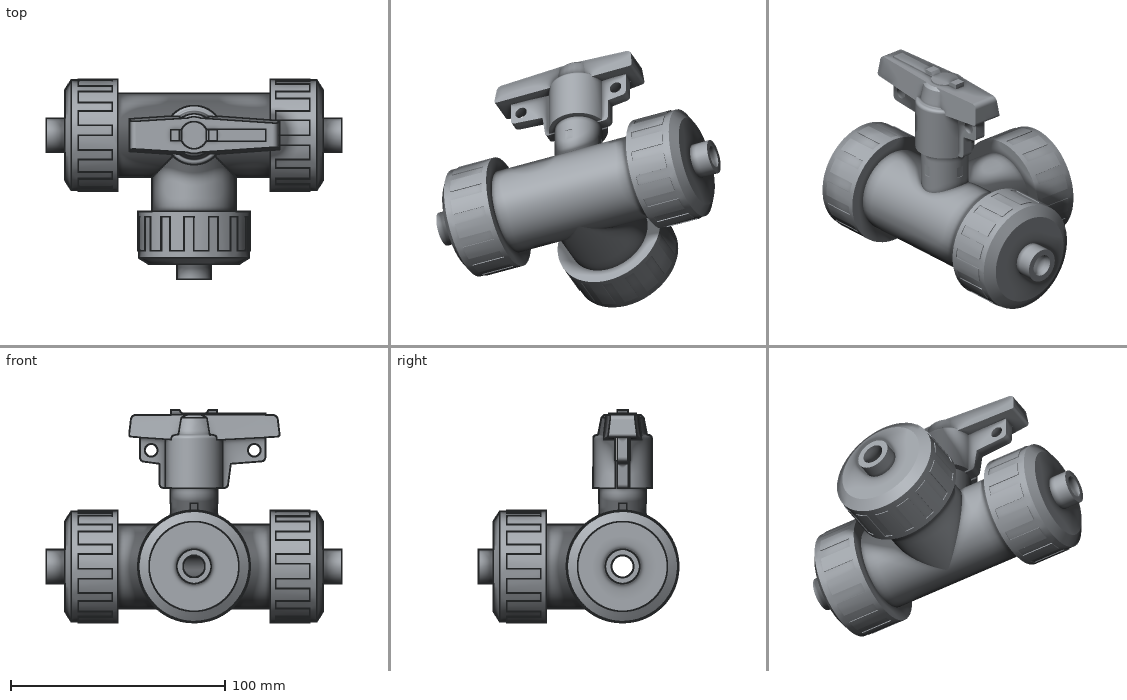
import cadquery as cq
import math


run_half_length = 69.0
branch_length = 67.3
body_diameter = 39.3
spigot_radius = 8.0
bore_radius = 5.1

nut_inner_face = 35.6
nut_groove_start = 38.1
nut_step = 54.0
nut_cone_start = 57.3
nut_outer_face = 60.3
nut_grip_radius = 26.2
nut_collar_radius = 25.8
nut_face_radius = 21.0
groove_count = 14
groove_fraction = 0.4

stem_diameter = 22.2
stem_top = 49.4
notch_top = 29.5
notch_height = 5.2
notch_width = 3.7
notch_floor = 10.8

hub_radius = 13.8
hub_bottom = 36.6
shoulder_bottom = 59.8
shoulder_round = 1.7
cone_foot_round = 0.8
cone_foot_radius = 11.3
cone_top_radius = 10.0
cone_top = 69.4

lever_bottom = 60.6
lever_belly = 58.5
lever_top = 70.8
lever_rear = -30.5
lever_front = 40.2
lever_end_draft = 1.2
lever_side_draft = 1.2
lever_rear_half_width = 7.6
lever_middle_half_width = 9.4
lever_front_half_width = 6.8
lever_top_round = 2.5
lever_bottom_round = 1.2

web_thickness = 5.1
web_slot_width = 6.9
web_rear = -25.3
web_front = 33.4
web_ear_bottom = 49.1
web_ear_root = 47.9
web_stem_rear = -16.1
web_stem_front = 15.7
web_stem_front_root = 17.2
web_corner_round = 2.1
web_hole_radius = 2.9
web_hole_inset = 5.2
web_hole_height = 54.2

mark_height = 0.7
disc_radius = 6.3
pointer_inner = 5.7
pointer_outer = 10.8
pointer_top = 73.1
pointer_slope = 1.2
pointer_width = 5.1
strip_width = 5.5


def turn(shape, angle):
    """Rotate a shape about the stem axis."""
    return shape.rotate((0, 0, 0), (0, 0, 1), angle)


def cylinder_to_port(radius, length):
    """Cylinder from the origin towards -X."""
    return cq.Workplane("YZ").circle(radius).extrude(-length)


def make_nut():
    """Union nut of the -X port, with grooves that run out over the collar."""
    core = (
        cq.Workplane("XY")
        .moveTo(-nut_inner_face, 0)
        .lineTo(-nut_inner_face, nut_collar_radius)
        .lineTo(-nut_cone_start, nut_collar_radius)
        .lineTo(-nut_outer_face, nut_face_radius)
        .lineTo(-nut_outer_face, 0)
        .close()
        .revolve(360, (0, 0, 0), (1, 0, 0))
    )
    grip = (
        cq.Workplane("YZ", origin=(-nut_inner_face, 0, 0))
        .circle(nut_grip_radius)
        .circle(nut_collar_radius)
        .extrude(nut_inner_face - nut_step)
    )
    pitch = 360 / groove_count
    groove_angle = pitch * groove_fraction
    reach = 2 * nut_grip_radius
    half_width = reach * math.tan(math.radians(groove_angle / 2))
    sector = (
        cq.Workplane("YZ", origin=(-nut_groove_start, 0, 0))
        .polyline([(0, 0), (half_width, reach), (-half_width, reach)])
        .close()
        .extrude(nut_groove_start - nut_step)
    )
    first_groove = -groove_angle / 2
    for index in range(groove_count):
        grip = grip.cut(sector.rotate((0, 0, 0), (1, 0, 0), first_groove + index * pitch))
    return core.union(grip)


def make_port(length):
    """Body arm, nut and spigot of the -X port."""
    arm = cylinder_to_port(body_diameter / 2, nut_inner_face)
    return arm.union(make_nut()).union(cylinder_to_port(spigot_radius, length))


def make_stem():
    """Round stem with a shallow flat notch on each of its four sides."""
    stem_radius = stem_diameter / 2
    stem = cq.Workplane("XY").circle(stem_radius).extrude(stem_top)
    notch = (
        cq.Workplane("XY")
        .box(stem_radius - notch_floor, notch_width, notch_height, centered=(False, True, False))
        .translate((notch_floor, 0, notch_top - notch_height))
    )
    for quarter in range(4):
        stem = stem.cut(turn(notch, 90 * quarter))
    return stem


def make_hub():
    """Sleeve with the rounded shoulder and the cone that backs the lever."""
    diagonal = math.sqrt(0.5)
    shoulder_top = shoulder_bottom + shoulder_round
    foot_center_radius = cone_foot_radius + cone_foot_round
    return (
        cq.Workplane("XZ")
        .moveTo(0, hub_bottom)
        .lineTo(hub_radius, hub_bottom)
        .lineTo(hub_radius, shoulder_bottom)
        .threePointArc(
            (
                hub_radius - shoulder_round * (1 - diagonal),
                shoulder_bottom + shoulder_round * diagonal,
            ),
            (hub_radius - shoulder_round, shoulder_top),
        )
        .threePointArc(
            (
                foot_center_radius - cone_foot_round * diagonal,
                shoulder_top + cone_foot_round * (1 - diagonal),
            ),
            (cone_foot_radius, shoulder_top + cone_foot_round),
        )
        .lineTo(cone_top_radius, cone_top)
        .lineTo(cone_top_radius - (lever_top - cone_top), lever_top)
        .lineTo(0, lever_top)
        .close()
        .revolve(360, (0, 0, 0), (0, 1, 0))
    )


def lever_outline(height):
    """Plan of the drafted lever at a height, widest over the stem."""
    rise = (height - lever_bottom) / (lever_top - lever_bottom)
    end_inset = rise * lever_end_draft
    side_inset = rise * lever_side_draft
    rear = lever_rear + end_inset
    front = lever_front - end_inset
    rear_y = lever_rear_half_width - side_inset
    middle_y = lever_middle_half_width - side_inset
    front_y = lever_front_half_width - side_inset
    return [
        (rear, -rear_y),
        (0, -middle_y),
        (front, -front_y),
        (front, front_y),
        (0, middle_y),
        (rear, rear_y),
    ]


def make_lever():
    """Tapered lever bar with rounded ends and a sagging underside."""
    lever = (
        cq.Workplane("XY", origin=(0, 0, lever_belly))
        .polyline(lever_outline(lever_belly))
        .close()
        .workplane(offset=lever_top - lever_belly)
        .polyline(lever_outline(lever_top))
        .close()
        .loft(ruled=True)
    )
    side_profile = (
        cq.Workplane("XZ")
        .polyline(
            [
                (lever_rear, lever_bottom),
                (0, lever_belly),
                (lever_front, lever_bottom),
                (lever_front, lever_top),
                (lever_rear, lever_top),
            ]
        )
        .close()
        .extrude(2 * lever_middle_half_width, both=True)
    )
    lever = lever.intersect(side_profile)
    lever = lever.faces(">Z").edges("|Y").fillet(lever_top_round)
    for x in (lever_rear, lever_front):
        end_edge = cq.selectors.NearestToPointSelector((x, 0, lever_bottom))
        lever = lever.edges(end_edge).fillet(lever_bottom_round)
    return lever


def make_web():
    """Upright web under the lever with a pierced ear at each end."""
    web = (
        cq.Workplane("XZ")
        .polyline(
            [
                (web_rear, lever_bottom),
                (web_rear, web_ear_bottom),
                (web_stem_rear, web_ear_root),
                (web_stem_rear, hub_bottom),
                (web_stem_front, hub_bottom),
                (web_stem_front_root, web_ear_root),
                (web_front, web_ear_bottom),
                (web_front, lever_bottom),
            ]
        )
        .close()
        .extrude(web_thickness / 2, both=True)
    )
    for x, z in (
        (web_rear, web_ear_bottom),
        (web_stem_rear, hub_bottom),
        (web_stem_front, hub_bottom),
        (web_front, web_ear_bottom),
    ):
        web = web.edges(cq.selectors.NearestToPointSelector((x, 0, z))).fillet(web_corner_round)
    holes = (
        cq.Workplane("XZ")
        .pushPoints(
            [
                (web_rear + web_hole_inset, web_hole_height),
                (web_front - web_hole_inset, web_hole_height),
            ]
        )
        .circle(web_hole_radius)
        .extrude(web_thickness, both=True)
    )
    return web.cut(holes)


def make_web_slot():
    """Slot along the lever, open downwards, that clears both faces of the web."""
    return (
        cq.Workplane("XY", origin=((web_rear + web_front) / 2, 0, hub_bottom))
        .rect(web_front - web_rear, web_slot_width)
        .extrude(lever_bottom - hub_bottom)
    )


def make_marks():
    """Disc, two pointers and the strip raised above the lever."""
    disc = cq.Workplane("XY", origin=(0, 0, lever_top)).circle(disc_radius).extrude(mark_height)
    pointer = (
        cq.Workplane("XZ")
        .polyline(
            [
                (pointer_inner, lever_top),
                (pointer_inner, lever_top + mark_height),
                (pointer_inner + pointer_slope, pointer_top),
                (pointer_outer, pointer_top),
                (pointer_outer, lever_top),
            ]
        )
        .close()
        .extrude(pointer_width / 2, both=True)
    )
    strip = (
        cq.Workplane("XY", origin=(web_front / 2, 0, lever_top))
        .rect(web_front, strip_width)
        .extrude(mark_height)
    )
    return disc.union(pointer).union(pointer.mirror("YZ")).union(strip)


run_port = make_port(run_half_length)
body = run_port.union(turn(run_port, 180)).union(turn(make_port(branch_length), 90))
bores = cylinder_to_port(bore_radius, run_half_length)
bores = bores.union(turn(bores, 180)).union(turn(bores, 90))

handle = make_hub().union(make_lever()).cut(make_web_slot()).union(make_web()).union(make_marks())
result = body.union(make_stem()).union(handle).cut(bores)